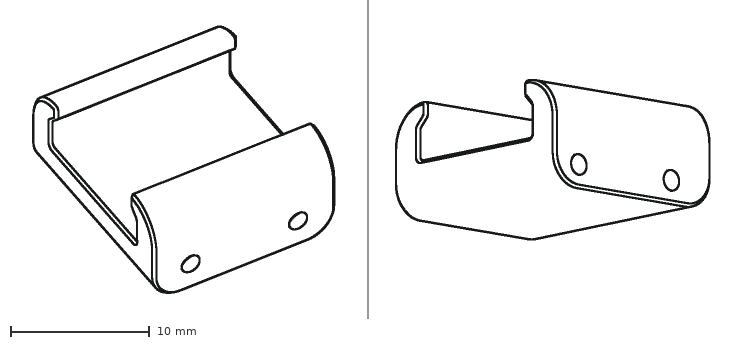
import cadquery as cq
import math

width = 17.3
length = 15.28
height = 8.06
half_width = width / 2
half_length = length / 2

mouth_half = 5.25
tray_half = 6.05
floor_height = 3.79
lip_bottom = 6.97
profile_fillet = 0.31
lip_root = lip_bottom - (tray_half - mouth_half)
shoulder_radius = half_width - mouth_half - profile_fillet

base_corner_radius = 2.35
edge_chamfer = 0.22

hole_diameter = 1.5
hole_pitch = 9.01
hole_offset = 0.3
hole_height = 1.85
countersink_radius = 1.3
flare_radius = 0.75
cone_angle = math.radians(45)


def half_clip():
    """Half of the clip on the +X side: base slab, tray wall and hooked lip."""
    half = (
        cq.Workplane("XZ", origin=(0, half_length, 0))
        .lineTo(half_width, 0)
        .lineTo(half_width, height - shoulder_radius)
        .radiusArc((half_width - shoulder_radius, height), -shoulder_radius)
        .radiusArc((mouth_half, height - profile_fillet), -profile_fillet)
        .lineTo(mouth_half, lip_bottom)
        .lineTo(tray_half, lip_root)
        .lineTo(tray_half, floor_height)
        .lineTo(0, floor_height)
        .close()
        .extrude(length)
    )
    for x, z in ((mouth_half, lip_bottom), (tray_half, lip_root), (tray_half, floor_height)):
        corner = cq.selectors.NearestToPointSelector((x, 0, z))
        half = half.edges("|Y").edges(corner).fillet(profile_fillet)
    return half


def clip_blank():
    """Full clip with its lower ends rounded."""
    half = half_clip()
    blank = half.union(half.mirror("YZ")).clean()
    return blank.faces("<Z").edges("|X").fillet(base_corner_radius)


def chamfer_rim(body):
    """Chamfer the profile edges of both ends and the rounded base edges of both sides."""
    end_edges = body.faces("<Y or >Y").edges().filter(
        lambda edge: edge.Center().z > base_corner_radius + edge_chamfer / 2
    )
    base_edges = body.faces("<X or >X").edges().filter(
        lambda edge: edge.Center().z < base_corner_radius
    )
    return body.newObject(end_edges.vals() + base_edges.vals()).chamfer(edge_chamfer)


def flared_hole(y):
    """Cutter for a through hole whose mouths are countersinks blended into the side faces."""
    bore_radius = hole_diameter / 2
    tangent_length = flare_radius * math.tan(cone_angle / 2)
    mouth_radius = countersink_radius + tangent_length
    cone_top_radius = countersink_radius - tangent_length * math.cos(cone_angle)
    cone_top_depth = tangent_length * math.sin(cone_angle)
    cone_bottom_depth = (countersink_radius - bore_radius) * math.tan(cone_angle)
    half = (
        cq.Workplane("XY")
        .lineTo(-half_width, 0)
        .lineTo(-half_width, mouth_radius)
        .radiusArc((-half_width + cone_top_depth, cone_top_radius), -flare_radius)
        .lineTo(-half_width + cone_bottom_depth, bore_radius)
        .lineTo(0, bore_radius)
        .close()
        .revolve(360, (0, 0, 0), (1, 0, 0))
    )
    return half.union(half.mirror("YZ")).translate((0, y, hole_height))


housing = chamfer_rim(clip_blank())
for side in (-1, 1):
    housing = housing.cut(flared_hole(hole_offset + side * hole_pitch / 2))

result = cq.Compound.makeCompound([housing.val()])